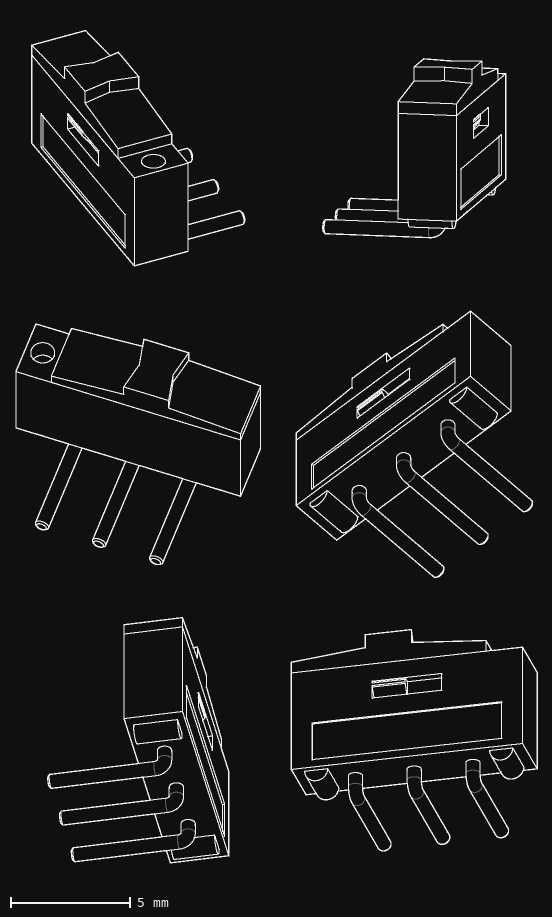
import cadquery as cq
import math

HOUSING_LENGTH = 10.0
HOUSING_DEPTH = 2.5
HOUSING_HEIGHT = 4.5
MID_DEPTH = HOUSING_DEPTH / 2

SOCKET_DIAMETER = 1.0
SOCKET_DEPTH = 1.0
SOCKET_X = 9.25

LABEL_BORDER_X = 0.9
LABEL_BOTTOM = 0.35
LABEL_HEIGHT = 1.71
LABEL_DEPTH = 0.1

WINDOW_LENGTH = 3.0
WINDOW_HEIGHT = 0.78
WINDOW_BOTTOM = 2.91
WINDOW_DEPTH = 0.41
WINDOW_LEFT = (HOUSING_LENGTH - WINDOW_LENGTH) / 2
WINDOW_TOP = WINDOW_BOTTOM + WINDOW_HEIGHT
CATCH_LENGTH = 1.42
CATCH_TOP_RISE = 0.08
CATCH_TOP_SETBACK = 0.04
CATCH_FACE_HEIGHT = 0.12
CATCH_LIP_RISE = 0.06
CATCH_LIP_SETBACK = 0.02
CATCH_CLEARANCE = 0.02

FOOT_RADIUS = 0.5
FOOT_INSET_X = 1.0
FOOT_INSET_Y = 0.31

PIN_DIAMETER = 0.6
PIN_PITCH = 2.54
PIN_DROP = 1.2
PIN_REACH = 6.2
PIN_BEND_RADIUS = 0.4
PIN_TIP_CHAMFER = 0.08

COVER_LENGTH = 8.42
COVER_EDGE_HEIGHT = 0.5
SLOPE_TOP_HEIGHT = 0.8
BUTTON_LEFT = 3.2
BUTTON_LENGTH = 2.0
BUTTON_RIGHT = BUTTON_LEFT + BUTTON_LENGTH
BUTTON_HEIGHT = 1.4
BUTTON_WAIST = 0.25


def catch():
    """Wedge that hangs in the left end of the window and tapers back to just above its floor."""
    face_top = WINDOW_TOP - CATCH_TOP_RISE
    face_bottom = face_top - CATCH_FACE_HEIGHT
    profile = [
        (WINDOW_DEPTH, WINDOW_TOP),
        (CATCH_TOP_SETBACK, WINDOW_TOP),
        (0, face_top),
        (0, face_bottom),
        (CATCH_LIP_SETBACK, face_bottom - CATCH_LIP_RISE),
        (WINDOW_DEPTH, WINDOW_BOTTOM + CATCH_CLEARANCE),
    ]
    return cq.Workplane("YZ", origin=(WINDOW_LEFT, 0, 0)).polyline(profile).close().extrude(CATCH_LENGTH)


def foot(x):
    """Half-round bar lying along Y under the housing, centred on x."""
    length = HOUSING_DEPTH - 2 * FOOT_INSET_Y
    return (
        cq.Workplane("XZ", origin=(x, FOOT_INSET_Y, 0))
        .moveTo(-FOOT_RADIUS, 0)
        .threePointArc((0, -FOOT_RADIUS), (FOOT_RADIUS, 0))
        .close()
        .extrude(-length)
    )


def pin(x):
    """Round pin that leaves the housing downward and bends back along +Y."""
    axis_z = PIN_DIAMETER / 2 - PIN_DROP
    bend_z = axis_z + PIN_BEND_RADIUS
    bend_end_y = MID_DEPTH + PIN_BEND_RADIUS
    bend_offset = PIN_BEND_RADIUS * (1 - math.sqrt(0.5))
    path = (
        cq.Workplane("YZ", origin=(x, 0, 0))
        .moveTo(MID_DEPTH, 0)
        .lineTo(MID_DEPTH, bend_z)
        .threePointArc((MID_DEPTH + bend_offset, axis_z + bend_offset), (bend_end_y, axis_z))
        .lineTo(PIN_REACH, axis_z)
    )
    bar = cq.Workplane("XY", origin=(x, MID_DEPTH, 0)).circle(PIN_DIAMETER / 2).sweep(path)
    return bar.faces(">Y").chamfer(PIN_TIP_CHAMFER)


def make_housing():
    """Housing block with its socket, recesses, catch, feet and pins as one solid."""
    body = cq.Workplane().box(HOUSING_LENGTH, HOUSING_DEPTH, HOUSING_HEIGHT, centered=False)
    socket = cq.Workplane("XY", origin=(SOCKET_X, MID_DEPTH, HOUSING_HEIGHT - SOCKET_DEPTH))
    body = body.cut(socket.circle(SOCKET_DIAMETER / 2).extrude(SOCKET_DEPTH))

    label_length = HOUSING_LENGTH - 2 * LABEL_BORDER_X
    label = cq.Workplane().box(label_length, LABEL_DEPTH, LABEL_HEIGHT, centered=False)
    body = body.cut(label.translate((LABEL_BORDER_X, 0, LABEL_BOTTOM)))

    window = cq.Workplane().box(WINDOW_LENGTH, WINDOW_DEPTH, WINDOW_HEIGHT, centered=False)
    body = body.cut(window.translate((WINDOW_LEFT, 0, WINDOW_BOTTOM)))
    body = body.union(catch())

    for x in (FOOT_INSET_X, HOUSING_LENGTH - FOOT_INSET_X):
        body = body.union(foot(x))
    for step in (-1, 0, 1):
        body = body.union(pin(HOUSING_LENGTH / 2 + step * PIN_PITCH))
    return body


def make_cover():
    """Cover that slopes up to a button whose two end faces are V-shaped."""
    waist_left = BUTTON_LEFT + BUTTON_WAIST
    waist_right = BUTTON_RIGHT - BUTTON_WAIST
    left_slope = (SLOPE_TOP_HEIGHT - COVER_EDGE_HEIGHT) / BUTTON_LEFT
    right_slope = (SLOPE_TOP_HEIGHT - COVER_EDGE_HEIGHT) / (COVER_LENGTH - BUTTON_RIGHT)
    slope_profile = [
        (0, 0),
        (COVER_LENGTH, 0),
        (COVER_LENGTH, COVER_EDGE_HEIGHT),
        (waist_right, SLOPE_TOP_HEIGHT + right_slope * BUTTON_WAIST),
        (waist_left, SLOPE_TOP_HEIGHT + left_slope * BUTTON_WAIST),
        (0, COVER_EDGE_HEIGHT),
    ]
    button_outline = [
        (BUTTON_LEFT, 0),
        (BUTTON_RIGHT, 0),
        (waist_right, MID_DEPTH),
        (BUTTON_RIGHT, HOUSING_DEPTH),
        (BUTTON_LEFT, HOUSING_DEPTH),
        (waist_left, MID_DEPTH),
    ]
    slopes = cq.Workplane("XZ").polyline(slope_profile).close().extrude(-HOUSING_DEPTH)
    button = cq.Workplane("XY").polyline(button_outline).close().extrude(BUTTON_HEIGHT)
    return slopes.union(button).translate((0, 0, HOUSING_HEIGHT))


housing = make_housing()
cover = make_cover()

result = cq.Compound.makeCompound([housing.val(), cover.val()])